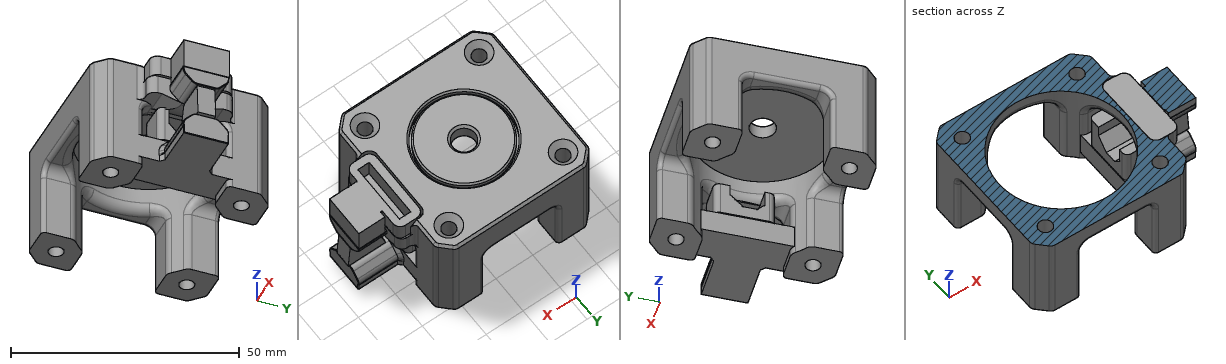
import cadquery as cq
import math

length_x = 41.9
length_y = 42.2
half_x = length_x / 2
half_y = length_y / 2
height = 27.5
corner_cut = 3.3
corner_radius = 1.8
top_chamfer = 0.65

arch_half = 10.0
arch_top = 17.5
arch_radius = 2.5
arch_edge_radius = 1.1
cavity_radius = 16.65
cavity_edge_radius = 2.2
cavity_top = 23.45
margin = 0.05

centre_hole_diameter = 6.0
centre_hole_chamfer = 0.6
screw_spacing = 31.0
screw_diameter = 3.5
screw_head_diameter = 6.45
groove_inner_radius = 11.55
groove_outer_radius = 12.1
groove_depth = 1.6
groove_chamfer = 0.45

shelf_end = 24.85
shelf_half = 10.15
shelf_corner_radius = 2.0
shelf_root_radius = 1.4
recess_start = 17.65
recess_half = 10.2
recess_corner_radius = 2.0
recess_floor = 22.1

plate_start = 18.1
plate_end = 25.1
plate_half = 9.7
plate_shift = 0.15
plate_bottom = 22.45
plate_corner_radius = 2.0
slot_start = 20.2
slot_width = 3.1
slot_length = 15.35

nose_end = 32.6
nose_half = 5.4
nose_cut = 2.55
nose_radius = 1.85
nose_depth = 4.0
nose_end_chamfer = 0.15
opening_middle = 12.15
opening_half_height = 4.15
upper_nose_bottom = opening_middle + opening_half_height
lower_nose_top = opening_middle - opening_half_height
web_half = 5.3
head_end = 32.6
head_y_max = 5.55
notch_width = 0.45
notch_inner = 3.95

ridge_start = cavity_radius + cavity_edge_radius
ridge_middle_x = 21.15
ridge_middle_z = 16.7
ridge_half = 2.5
ridge_base_half = 7.2

bar_start = 12.9
bar_bottom = 2.0
flare = 0.945

slider_bottom = 8.3
slider_top = 17.1
slider_y_min = -6.35
slider_y_max = 7.5
slider_corner_radius = 1.4
slider_notch_half = 3.95
slider_notch_floor = 11.3
slider_notch_floor_y_min = -2.15
slider_notch_floor_y_max = 0.95

wedge_half = 2.1
wedge_bottom = 8.3
wedge_top = 15.9
wedge_bottom_start = 22.8
wedge_bottom_end = 53.9 - half_x
wedge_top_start = 24.95
wedge_top_end = 32.45


def box(x_min, x_max, y_min, y_max, z_min, z_max):
    """Axis-aligned box given by its limits."""
    size = (x_max - x_min, y_max - y_min, z_max - z_min)
    return cq.Workplane("XY").box(*size, centered=False).translate((x_min, y_min, z_min))


def make_block():
    """Square block on four legs: corner cuts, top chamfer, inner cavity and arches."""
    block = box(-half_x, half_x, -half_y, half_y, 0, height)
    block = block.edges("|Z").chamfer(corner_cut)
    block = block.edges("|Z").fillet(corner_radius)
    block = block.faces(">Z").edges().chamfer(top_chamfer)
    block = block.cut(cq.Workplane("XY").circle(cavity_radius).extrude(cavity_top))
    for along_x in (True, False):
        block = block.cut(make_arch_tunnel(along_x))
    for side in (-1, 1):
        block = block.edges(rim_selector(side * half_x, True)).fillet(arch_edge_radius)
        block = block.edges(rim_selector(side * half_y, False)).fillet(arch_edge_radius)
    for side in (-1, 1):
        block = block.edges(inner_rim_selector(side, True)).fillet(cavity_edge_radius)
        block = block.edges(inner_rim_selector(side, False)).fillet(cavity_edge_radius)
    return block


def make_arch_tunnel(along_x):
    """Tunnel with a rounded roof, straight through the block along X or along Y."""
    tunnel = box(-half_y, half_y, -arch_half, arch_half, 0, arch_top)
    tunnel = tunnel.edges("|X and >Z").fillet(arch_radius)
    return tunnel if along_x else tunnel.rotate((0, 0, 0), (0, 0, 1), 90)


def rim_selector(offset, along_x):
    """Selects the arch edges lying in one outer wall face, at the given offset along X or Y."""
    return arch_edges(offset - margin, offset + margin, along_x)


def inner_rim_selector(side, along_x):
    """Selects the edges where one arch opens into the round cavity."""
    nearest = side * math.sqrt(cavity_radius**2 - arch_half**2)
    farthest = side * cavity_radius
    return arch_edges(min(nearest, farthest) - margin, max(nearest, farthest) + margin, along_x)


def arch_edges(start, end, along_x):
    """Selects the edges within the arch opening between two offsets along X or Y."""
    reach = arch_half + margin
    low = (start, -reach, -margin)
    high = (end, reach, arch_top + margin)
    if not along_x:
        low = (-reach, start, -margin)
        high = (reach, end, arch_top + margin)
    return cq.selectors.BoxSelector(low, high, boundingbox=True)


def cut_top_holes(body):
    """Centre hole, ring groove and four countersunk screw holes."""
    top = body.faces(">Z").workplane(origin=(0, 0, height))
    body = top.hole(centre_hole_diameter)
    body = body.cut(cone(centre_hole_diameter / 2, centre_hole_chamfer))
    screws = (
        cq.Workplane("XY", origin=(0, 0, height))
        .rect(screw_spacing, screw_spacing, forConstruction=True)
        .vertices()
        .circle(screw_diameter / 2)
        .extrude(-height)
    )
    sink = cone(screw_diameter / 2, (screw_head_diameter - screw_diameter) / 2)
    body = body.cut(screws)
    for x_sign in (-1, 1):
        for y_sign in (-1, 1):
            place = (x_sign * screw_spacing / 2, y_sign * screw_spacing / 2, 0)
            body = body.cut(sink.translate(place))
    return body.cut(make_ring_groove())


def cone(hole_radius, depth):
    """45 degree countersink of the given depth, on the Z axis at the top face."""
    profile = [
        (0, height - depth),
        (hole_radius, height - depth),
        (hole_radius + depth, height),
        (0, height),
    ]
    return cq.Workplane("XZ").polyline(profile).close().revolve(360, (0, 0, 0), (0, 1, 0))


def make_ring_groove():
    """Ring groove with both upper edges chamfered."""
    profile = [
        (groove_inner_radius, height - groove_depth),
        (groove_outer_radius, height - groove_depth),
        (groove_outer_radius, height - groove_chamfer),
        (groove_outer_radius + groove_chamfer, height),
        (groove_inner_radius - groove_chamfer, height),
        (groove_inner_radius, height - groove_chamfer),
    ]
    return cq.Workplane("XZ").polyline(profile).close().revolve(360, (0, 0, 0), (0, 1, 0))


def make_shelf():
    """Shelf on the +X wall, its root blended into the wall and cut by the top chamfer's plane."""
    root_y = shelf_half + shelf_root_radius
    root_x = half_x + shelf_root_radius
    root_bulge = shelf_root_radius * (1 - math.sqrt(0.5))
    shelf = (
        cq.Workplane("XY", origin=(0, 0, arch_top))
        .moveTo(recess_start, -root_y)
        .lineTo(half_x, -root_y)
        .threePointArc((half_x + root_bulge, -shelf_half - root_bulge), (root_x, -shelf_half))
        .lineTo(shelf_end, -shelf_half)
        .lineTo(shelf_end, shelf_half)
        .lineTo(root_x, shelf_half)
        .threePointArc((half_x + root_bulge, shelf_half + root_bulge), (half_x, root_y))
        .lineTo(recess_start, root_y)
        .close()
        .extrude(height - arch_top)
    )
    shelf = shelf.edges("|Z and >X").fillet(shelf_corner_radius)
    drop = shelf_end - half_x + top_chamfer
    slope = (
        cq.Workplane("XZ", origin=(0, root_y, 0))
        .polyline([(half_x - top_chamfer, height), (shelf_end, height), (shelf_end, height - drop)])
        .close()
        .extrude(2 * root_y)
    )
    return shelf.cut(slope)


def make_recess():
    """Rounded recess in the top that clears the plate and leaves the shelf as its floor."""
    recess = box(recess_start, nose_end, -recess_half, recess_half, recess_floor, height)
    return recess.edges("|Z and <X").fillet(recess_corner_radius)


def make_ridge():
    """Curved keel under the shelf that deepens until it meets the upper nose."""
    keel = (
        cq.Workplane("YZ", origin=(ridge_start, 0, 0))
        .polyline([
            (-ridge_base_half, arch_top),
            (-ridge_half, upper_nose_bottom),
            (ridge_half, upper_nose_bottom),
            (ridge_base_half, arch_top),
        ])
        .close()
        .extrude(shelf_end - ridge_start)
    )
    ramp = (
        cq.Workplane("XZ", origin=(0, ridge_base_half, 0))
        .moveTo(ridge_start, arch_top)
        .threePointArc((ridge_middle_x, ridge_middle_z), (shelf_end, upper_nose_bottom))
        .lineTo(shelf_end, arch_top)
        .close()
        .extrude(2 * ridge_base_half)
    )
    return keel.intersect(ramp)


def make_nose(start):
    """Plain lower nose along X, its upper long edges cut at 45 degrees and blended."""
    lip = lower_nose_top - nose_depth
    nose = box(start, nose_end, -nose_half, nose_half, lip, lower_nose_top)
    nose = nose.edges("|X and >Z").chamfer(nose_cut)
    above_lip = cq.selectors.BoxSelector((start, -half_x, lip + 0.55), (nose_end, half_x, height))
    return nose.edges("|X").edges(above_lip).fillet(nose_radius)


def make_lower_nose():
    """Lower nose on its stem, widening at 45 degrees where it meets the bar."""
    start = half_x + flare
    stem = box(start, nose_end, -web_half, web_half, bar_bottom, lower_nose_top - nose_depth)
    nose = make_nose(start).union(stem)
    root = nose.faces("<X").wires().toPending().workplane().extrude(flare, taper=-45, combine=False)
    band = box(half_x, start, -half_x, half_x, bar_bottom, lower_nose_top)
    nose = nose.faces(">X").edges().chamfer(nose_end_chamfer)
    return nose.union(root.intersect(band))


def make_upper_nose():
    """Upper nose: the plain nose turned over about the middle of the opening."""
    nose = make_nose(shelf_end).faces(">X").edges().chamfer(nose_end_chamfer)
    return nose.mirror("XY", (0, 0, opening_middle))


def make_plate():
    """Rounded plate over the shelf, with a slot right through it."""
    plate = box(
        plate_start, plate_end, plate_shift - plate_half, plate_shift + plate_half, plate_bottom, height
    )
    plate = plate.edges("|Z").fillet(plate_corner_radius)
    slot = box(
        slot_start, slot_start + slot_width,
        plate_shift - slot_length / 2, plate_shift + slot_length / 2, plate_bottom, height,
    )
    return plate.cut(slot)


def make_head():
    """Head on the upper nose that carries the plate, set apart from the shelf at both sides."""
    lip = upper_nose_bottom + nose_depth
    head = box(plate_end, head_end, -web_half, head_y_max, lip, height)
    notch = box(plate_end, plate_end + notch_width, notch_inner, head_y_max, lip, height)
    neck = box(shelf_end, plate_end, -notch_inner, notch_inner, lip, plate_bottom)
    return head.cut(notch).union(neck)


def make_bar():
    """Bar that joins the two +X legs below the slider."""
    reach = arch_half + arch_edge_radius
    return box(bar_start, half_x, -reach, reach, bar_bottom, lower_nose_top)


def make_housing():
    """Block with the shelf, noses, head, plate and bar that are fixed to it."""
    body = make_block().union(make_shelf()).cut(make_recess())
    body = cut_top_holes(body)
    for feature in (make_ridge(), make_bar(), make_lower_nose(), make_upper_nose(), make_head(), make_plate()):
        body = body.union(feature)
    return body


def make_slider():
    """Slider with rounded upright corners and a tapered notch open at the top."""
    slider = box(bar_start, half_x, slider_y_min, slider_y_max, slider_bottom, slider_top)
    slider = slider.edges("|Z").fillet(slider_corner_radius)
    left_rise = slider_notch_half - slider_notch_floor_y_max
    right_rise = slider_notch_half + slider_notch_floor_y_min
    notch = (
        cq.Workplane("YZ", origin=(bar_start, 0, 0))
        .polyline([
            (-slider_notch_half, slider_top),
            (-slider_notch_half, slider_notch_floor + right_rise),
            (slider_notch_floor_y_min, slider_notch_floor),
            (slider_notch_floor_y_max, slider_notch_floor),
            (slider_notch_half, slider_notch_floor + left_rise),
            (slider_notch_half, slider_top),
        ])
        .close()
        .extrude(half_x - bar_start)
    )
    return slider.cut(notch)


def make_wedge():
    """Wedge with two sloping ends, standing between the noses."""
    return (
        cq.Workplane("XZ", origin=(0, wedge_half, 0))
        .polyline([
            (wedge_bottom_start, wedge_bottom),
            (wedge_bottom_end, wedge_bottom),
            (wedge_top_end, wedge_top),
            (wedge_top_start, wedge_top),
        ])
        .close()
        .extrude(2 * wedge_half)
    )


housing = make_housing()
slider = make_slider()
wedge = make_wedge()
result = cq.Compound.makeCompound([housing.val(), slider.val(), wedge.val()])